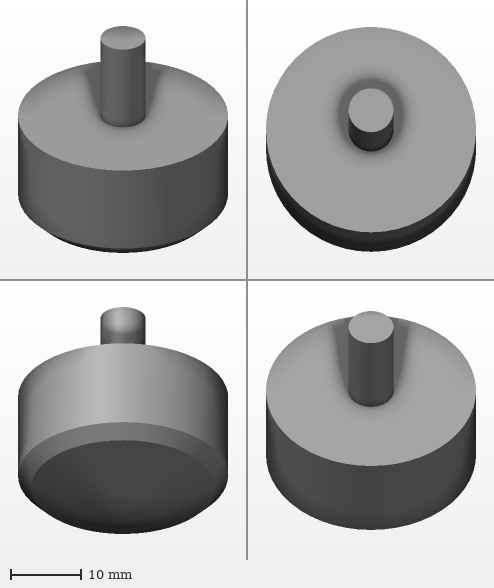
import cadquery as cq

total_height = 31.9
body_diameter = 30.0
pin_diameter = 6.4
pin_length = 13.0
chamfer_size = 1.88
cone_height = 3.92

body_radius = body_diameter / 2
pin_radius = pin_diameter / 2
cone_radius = body_radius - chamfer_size
body_bottom = cone_height + chamfer_size
body_top = total_height - pin_length

half_profile = (
    cq.Workplane("XZ")
    .moveTo(0, 0)
    .lineTo(cone_radius, cone_height)
    .lineTo(body_radius, body_bottom)
    .lineTo(body_radius, body_top)
    .lineTo(pin_radius, body_top)
    .lineTo(pin_radius, total_height)
    .lineTo(0, total_height)
    .close()
)

result = half_profile.revolve(360, (0, 0, 0), (0, 1, 0))